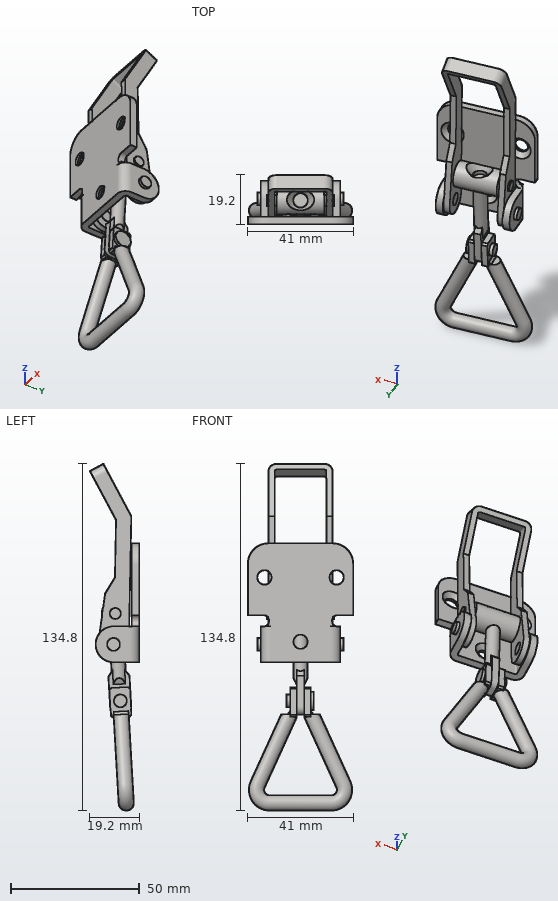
import cadquery as cq
import math


plate_thickness = 3.0
plate_width = 41.0
plate_top = 39.3
plate_shoulder = 11.3
plate_corner_radius = 8.0
mount_hole_diameter = 5.5
mount_hole_land = 1.0
mount_countersink_half_angle = 45.0
upper_hole_x = 14.0
upper_hole_z = 26.0
lower_hole_z = 1.0

ear_radius = 7.0
ear_bend_inner_radius = 0.8
pivot_y = 10.0

lever_outer = 12.5
lever_thickness = 2.5
lever_inner = lever_outer - lever_thickness
lever_depth = 6.0
lever_end_radius = lever_depth
lever_corner_radius = 3.3
lever_tilt = 1.1
lever_knee_angle = 29.2
lever_knee_height = 49.9
lever_tip_length = 23.11
lever_shoulder_height = 26.0
lever_hump_height = 19.6
lever_hump_depth = 3.7

rivet_diameter = 5.0
rivet_overhang = 1.25

ear_inner = lever_outer
ear_outer = ear_inner + plate_thickness
ear_bend_outer_radius = ear_bend_inner_radius + plate_thickness
relief_radius = (plate_shoulder - ear_radius) / 2
relief_end_x = 12.2

barrel_y = 9.3
barrel_z = 12.0
barrel_diameter = 10.6
barrel_half_length = 9.15
journal_diameter = 4.3
journal_overhang = 0.7
countersink_radius = 5.3
countersink_half_angle = 35.0

linkage_tilt = -3.3

bolt_diameter = 5.6
tongue_thickness = 3.0
tongue_half_width = 4.15
tongue_shoulder = 9.6
tongue_neck = 12.1
tongue_neck_half_width = 2.3
tongue_bottom = -5.4
tongue_end_radius = 2.7
bolt_cut_top = 8.9
bolt_cut_bottom = 6.5

pin_drop = 34.0
bar_diameter = 6.0
bar_drop = 39.73
bar_half_length = 12.0
bend_radius = 5.1
leg_angle = 24.5
leg_top = -5.3
cheek_thickness = 2.5
cheek_width = 8.0
cheek_top = 5.2
cheek_bottom = -6.4
cheek_chamfer = 0.8
ramp_width = 5.8
ramp_rise = 1.2
ramp_run = 0.9

pin_diameter = 5.0
pin_overhang = 1.5
pin_head_diameter = 7.2
pin_head_height = 1.2


def cylinder_x(diameter, x_start, x_end, y=0.0, z=0.0):
    """Cylinder along X between two X positions."""
    plane = cq.Workplane("YZ", origin=(x_start, y, z))
    return plane.circle(diameter / 2).extrude(x_end - x_start)


def box(x_range, y_range, z_range):
    """Box given by its lowest and highest X, Y and Z."""
    size = [high - low for low, high in (x_range, y_range, z_range)]
    return cq.Workplane("XY").box(*size, centered=False).translate(
        (x_range[0], y_range[0], z_range[0])
    )


def mirrored(half):
    """A half together with its mirror image across X = 0."""
    return half.union(half.mirror("YZ"))


def on_linkage(body):
    """Move a body from barrel coordinates to its tilted place in the latch."""
    return body.rotate((0, 0, 0), (1, 0, 0), linkage_tilt).translate((0, barrel_y, barrel_z))


def make_mount_hole():
    """Cutter for a mounting hole: a short straight land, then a countersink open toward +Y."""
    hole_radius = mount_hole_diameter / 2
    half_angle = math.radians(mount_countersink_half_angle)
    mouth_radius = hole_radius + (plate_thickness - mount_hole_land) * math.tan(half_angle)
    profile = (
        cq.Workplane("XY")
        .lineTo(hole_radius, 0)
        .lineTo(hole_radius, mount_hole_land)
        .lineTo(mouth_radius, plate_thickness)
        .lineTo(0, plate_thickness)
        .close()
    )
    return profile.revolve(360, (0, 0, 0), (0, 1, 0))


def make_base():
    half_width = plate_width / 2
    plate = box((-half_width, half_width), (0, plate_thickness), (plate_shoulder, plate_top))
    plate = plate.edges("|Y and >Z").fillet(plate_corner_radius)

    bend_x = ear_outer - ear_bend_outer_radius
    neck = box((-bend_x, bend_x), (0, plate_thickness), (-ear_radius, plate_shoulder))
    relief_center_x = relief_end_x + relief_radius
    relief_center_z = ear_radius + relief_radius
    neck_side = box((0, relief_center_x), (0, plate_thickness), (ear_radius, plate_shoulder))
    relief = (
        cq.Workplane("XZ")
        .center(relief_center_x, relief_center_z)
        .circle(relief_radius)
        .extrude(-plate_thickness)
    )
    neck_side = neck_side.cut(relief)

    ear_section = (
        cq.Workplane("XY", origin=(0, 0, -ear_radius))
        .moveTo(bend_x, 0)
        .radiusArc((ear_outer, ear_bend_outer_radius), -ear_bend_outer_radius)
        .lineTo(ear_outer, pivot_y + ear_radius)
        .lineTo(ear_inner, pivot_y + ear_radius)
        .lineTo(ear_inner, ear_bend_outer_radius)
        .radiusArc((bend_x, plate_thickness), ear_bend_inner_radius)
        .close()
        .extrude(2 * ear_radius)
    )
    ear_outline = cylinder_x(2 * ear_radius, 0, ear_outer, pivot_y).union(
        box((0, ear_outer), (0, pivot_y), (-ear_radius, ear_radius))
    )
    ear = ear_section.intersect(ear_outline)

    base = plate.union(neck).union(mirrored(neck_side)).union(mirrored(ear))
    hole_centers = [(-upper_hole_x, upper_hole_z), (upper_hole_x, upper_hole_z), (0, lower_hole_z)]
    for x, z in hole_centers:
        base = base.cut(make_mount_hole().translate((x, 0, z)))
    return base.cut(cylinder_x(rivet_diameter, -ear_outer, ear_outer, pivot_y))


def make_lever():
    knee = math.radians(lever_knee_angle)
    back_tip = (
        -lever_depth + lever_tip_length * math.sin(knee),
        lever_knee_height + lever_tip_length * math.cos(knee),
    )
    front_tip = (
        back_tip[0] + lever_depth * math.cos(knee),
        back_tip[1] - lever_depth * math.sin(knee),
    )
    hump_distance = math.hypot(lever_hump_depth, lever_hump_height)
    tangent_angle = math.atan2(lever_hump_height, lever_hump_depth) - math.acos(
        lever_end_radius / hump_distance
    )
    tangent_point = (
        lever_end_radius * math.cos(tangent_angle),
        lever_end_radius * math.sin(tangent_angle),
    )
    profile = (
        cq.Workplane("YZ", origin=(-lever_outer, 0, 0))
        .moveTo(-lever_end_radius, 0)
        .lineTo(-lever_depth, lever_knee_height)
        .lineTo(*back_tip)
        .lineTo(*front_tip)
        .lineTo(0, lever_knee_height - lever_depth * math.tan(knee / 2))
        .lineTo(0, lever_shoulder_height)
        .lineTo(lever_hump_depth, lever_hump_height)
        .lineTo(*tangent_point)
        .threePointArc((0, -lever_end_radius), (-lever_end_radius, 0))
        .close()
        .extrude(2 * lever_outer)
    )

    reach = 2 * (lever_knee_height + lever_tip_length)
    tip_plane = cq.Plane(
        origin=(0, *back_tip), xDir=(1, 0, 0), normal=(0, -math.cos(knee), math.sin(knee))
    )
    outside = (
        cq.Workplane(tip_plane)
        .center(0, -reach / 2)
        .rect(2 * lever_outer, reach)
        .extrude(reach, both=True)
        .edges(cq.selectors.ParallelDirSelector(tip_plane.zDir))
        .fillet(lever_corner_radius)
    )
    inside = (
        cq.Workplane(tip_plane)
        .center(0, -lever_thickness - reach / 2)
        .rect(2 * lever_inner, reach)
        .extrude(reach, both=True)
        .edges(cq.selectors.ParallelDirSelector(tip_plane.zDir))
        .fillet(lever_corner_radius - lever_thickness)
    )
    lever = profile.intersect(outside).cut(inside)
    lever = lever.rotate((0, 0, 0), (1, 0, 0), lever_tilt).translate((0, pivot_y, 0))
    lever = lever.cut(cylinder_x(rivet_diameter, -lever_outer, lever_outer, pivot_y))
    return lever.cut(cylinder_x(journal_diameter, -lever_outer, lever_outer, barrel_y, barrel_z))


def make_rivet(side):
    """Rivet through one ear and lever leg; side is -1 or 1."""
    outer_end = side * (ear_outer + rivet_overhang)
    return cylinder_x(rivet_diameter, side * lever_inner, outer_end, pivot_y)


def make_barrel():
    journal_end = lever_outer + journal_overhang
    barrel = cylinder_x(barrel_diameter, -barrel_half_length, barrel_half_length)
    barrel = barrel.union(cylinder_x(journal_diameter, -journal_end, journal_end))
    radius = barrel_diameter / 2
    bore = cq.Workplane("XY").circle(bolt_diameter / 2).extrude(radius, both=True)
    countersink_depth = (countersink_radius - bolt_diameter / 2) / math.tan(
        math.radians(countersink_half_angle)
    )
    countersink = cq.Workplane("XY").add(
        cq.Solid.makeCone(
            bolt_diameter / 2, countersink_radius, countersink_depth,
            pnt=cq.Vector(0, 0, radius - countersink_depth),
        )
    )
    return on_linkage(barrel.cut(bore).cut(countersink))


def make_eye_bolt():
    """Round bolt that narrows to a flat tongue around the handle pin."""
    radius = bolt_diameter / 2
    half_tongue = tongue_thickness / 2
    rod = cq.Workplane("XY", origin=(0, 0, bolt_cut_bottom)).circle(radius)
    rod = rod.extrude(pin_drop - bolt_cut_bottom)
    rod_profile = (
        cq.Workplane("XZ")
        .moveTo(-half_tongue, bolt_cut_bottom)
        .lineTo(half_tongue, bolt_cut_bottom)
        .lineTo(radius, bolt_cut_top)
        .lineTo(radius, pin_drop)
        .lineTo(-radius, pin_drop)
        .lineTo(-radius, bolt_cut_top)
        .close()
        .extrude(radius, both=True)
    )
    tongue = (
        cq.Workplane("YZ", origin=(-half_tongue, 0, 0))
        .moveTo(-tongue_half_width, tongue_bottom)
        .lineTo(tongue_half_width, tongue_bottom)
        .lineTo(tongue_half_width, tongue_shoulder)
        .lineTo(tongue_neck_half_width, tongue_neck)
        .lineTo(-tongue_neck_half_width, tongue_neck)
        .lineTo(-tongue_half_width, tongue_shoulder)
        .close()
        .extrude(tongue_thickness)
        .edges("|X and <Z")
        .fillet(tongue_end_radius)
    )
    bolt = rod.intersect(rod_profile).union(tongue)
    bolt = bolt.cut(cylinder_x(pin_diameter, -half_tongue, half_tongue))
    return on_linkage(bolt.translate((0, 0, -pin_drop)))


def make_handle():
    """Round bar bent to a triangle whose open end carries two flat cheeks."""
    cheek_inner = tongue_thickness / 2
    cheek_outer = cheek_inner + cheek_thickness
    bar_z = -bar_drop
    bend_z = bar_z + bend_radius
    lean = math.radians(leg_angle)
    bend_middle_angle = (lean - math.pi / 2) / 2
    bend_end = (bar_half_length + bend_radius * math.cos(lean), bend_z + bend_radius * math.sin(lean))
    bend_middle = (
        bar_half_length + bend_radius * math.cos(bend_middle_angle),
        bend_z + bend_radius * math.sin(bend_middle_angle),
    )
    leg_end_z = bend_end[1] + (bend_end[0] - cheek_inner) / math.tan(lean)
    path = (
        cq.Workplane("XZ")
        .moveTo(0, bar_z)
        .lineTo(bar_half_length, bar_z)
        .threePointArc(bend_middle, bend_end)
        .lineTo(cheek_inner, leg_end_z)
    )
    half = cq.Workplane("YZ", origin=(0, 0, bar_z)).circle(bar_diameter / 2).sweep(path)
    half = half.cut(box((-cheek_outer, plate_width), (-cheek_width, cheek_width), (leg_top, pin_drop)))
    gap_floor = bar_z + bar_diameter
    half = half.cut(box((0, cheek_inner), (-cheek_width, cheek_width), (gap_floor, leg_top)))

    half_width = cheek_width / 2
    cheek = box((cheek_inner, cheek_outer), (-half_width, half_width), (cheek_bottom, cheek_top))
    cheek = cheek.edges("|X").chamfer(cheek_chamfer)
    ramp = (
        cq.Workplane("XZ")
        .moveTo(cheek_outer, leg_top)
        .lineTo(cheek_outer + ramp_run, leg_top)
        .lineTo(cheek_outer, leg_top + ramp_rise)
        .close()
        .extrude(ramp_width / 2, both=True)
    )
    handle = mirrored(half.union(cheek).union(ramp))
    handle = handle.cut(cylinder_x(pin_diameter, -cheek_outer, cheek_outer))
    return on_linkage(handle.translate((0, 0, -pin_drop)))


def make_handle_pin():
    cheek_outer = tongue_thickness / 2 + cheek_thickness
    shank = cylinder_x(pin_diameter, -cheek_outer - pin_overhang, cheek_outer)
    head = cylinder_x(pin_head_diameter, cheek_outer, cheek_outer + pin_head_height)
    return on_linkage(shank.union(head).translate((0, 0, -pin_drop)))


base = make_base()
lever = make_lever()
rivets = [make_rivet(side) for side in (-1, 1)]
barrel = make_barrel()
eye_bolt = make_eye_bolt()
handle = make_handle()
handle_pin = make_handle_pin()

result = cq.Compound.makeCompound(
    [
        base.val(),
        lever.val(),
        *[rivet.val() for rivet in rivets],
        barrel.val(),
        eye_bolt.val(),
        handle.val(),
        handle_pin.val(),
    ]
)